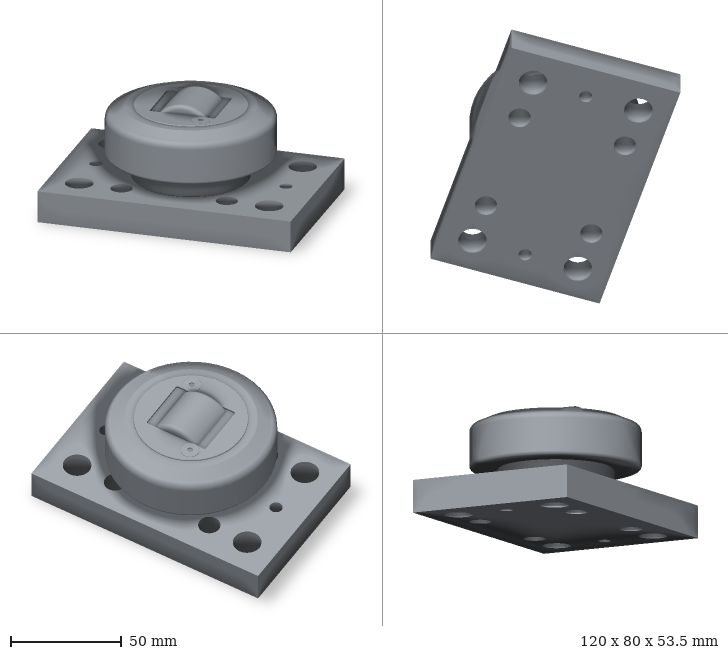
import cadquery as cq

plate_length = 120.0
plate_width = 80.0
plate_height = 15.0
corner_hole_diameter = 13.0
inner_hole_diameter = 10.1
pin_hole_diameter = 6.0
outer_hole_x = 45.0
inner_hole_x = 25.0
hole_row_y = 25.0

hub_diameter = 54.0
hub_top = 25.0
hub_chamfer = 0.5
hub_foot_chamfer = 0.2
neck_diameter = 52.0

roller_diameter = 77.9
roller_bottom = 25.7
roller_top = 48.7
roller_bottom_round = 1.5
shoulder_bottom = 42.7
shoulder_top = 46.1
cone_bottom_diameter = 72.5
cone_top_diameter = 60.2

cap_diameter = 52.0
cap_top = 49.3
cap_chamfer = 0.2

total_height = 53.5
pocket_length = 31.2
pocket_width = 26.4
pocket_corner_radius = 1.0
pocket_depth = 1.0
side_roller_diameter = 30.0
side_roller_round = 2.0

screw_x = 10.1
screw_y = 17.2
screw_head_diameter = 8.5
screw_head_rise = 0.2
screw_head_chamfer = 0.1
screw_socket_diameter = 2.6
screw_socket_depth = 0.5


def cylinder(diameter, bottom, top):
    return cq.Workplane("XY").workplane(offset=bottom).circle(diameter / 2).extrude(top - bottom)


def make_plate():
    plate = cq.Workplane("XY").box(plate_length, plate_width, plate_height, centered=(True, True, False))
    for hole_x, diameter in ((outer_hole_x, corner_hole_diameter), (inner_hole_x, inner_hole_diameter)):
        holes = cq.Workplane("XY").rect(2 * hole_x, 2 * hole_row_y, forConstruction=True).vertices()
        plate = plate.cut(holes.circle(diameter / 2).extrude(plate_height))
    pin_holes = cq.Workplane("XY").pushPoints([(-outer_hole_x, 0), (outer_hole_x, 0)])
    return plate.cut(pin_holes.circle(pin_hole_diameter / 2).extrude(plate_height))


def make_hub():
    hub = cylinder(hub_diameter, plate_height, hub_top).faces(">Z").chamfer(hub_chamfer)
    hub = hub.faces("<Z").chamfer(hub_foot_chamfer)
    return hub.union(cylinder(neck_diameter, hub_top, roller_bottom))


def make_main_roller():
    radius = roller_diameter / 2
    shoulder_rise = shoulder_top - shoulder_bottom
    shoulder_inset = (roller_diameter - cone_bottom_diameter) / 2
    profile = (
        cq.Workplane("XZ")
        .moveTo(0, roller_bottom)
        .lineTo(radius - roller_bottom_round, roller_bottom)
        .radiusArc((radius, roller_bottom + roller_bottom_round), -roller_bottom_round)
        .lineTo(radius, shoulder_bottom)
        .tangentArcPoint((-shoulder_inset, shoulder_rise))
        .lineTo(cone_top_diameter / 2, roller_top)
        .lineTo(0, roller_top)
        .close()
    )
    return profile.revolve(360, (0, 0, 0), (0, 1, 0))


def make_cap():
    cap = cylinder(cap_diameter, roller_top, cap_top)
    return cap.faces(">Z").chamfer(cap_chamfer)


def make_pocket():
    pocket = (
        cq.Workplane("XY")
        .workplane(offset=cap_top - pocket_depth)
        .rect(pocket_length, pocket_width)
        .extrude(pocket_depth)
    )
    return pocket.edges("|Z").fillet(pocket_corner_radius)


def make_side_roller():
    axis_height = total_height - side_roller_diameter / 2
    return (
        cq.Workplane("XZ")
        .center(0, axis_height)
        .circle(side_roller_diameter / 2)
        .extrude(pocket_width / 2, both=True)
        .edges()
        .fillet(side_roller_round)
    )


def add_screws(body):
    head_top = cap_top + screw_head_rise
    for side in (-1, 1):
        position = (side * screw_x, -side * screw_y, 0)
        head = cylinder(screw_head_diameter, roller_top, head_top).faces(">Z").chamfer(screw_head_chamfer)
        socket = cylinder(screw_socket_diameter, head_top - screw_socket_depth, head_top)
        body = body.union(head.translate(position)).cut(socket.translate(position))
    return body


body = make_plate().union(make_hub()).union(make_main_roller()).union(make_cap())
body = body.cut(make_pocket()).union(make_side_roller())
result = add_screws(body)